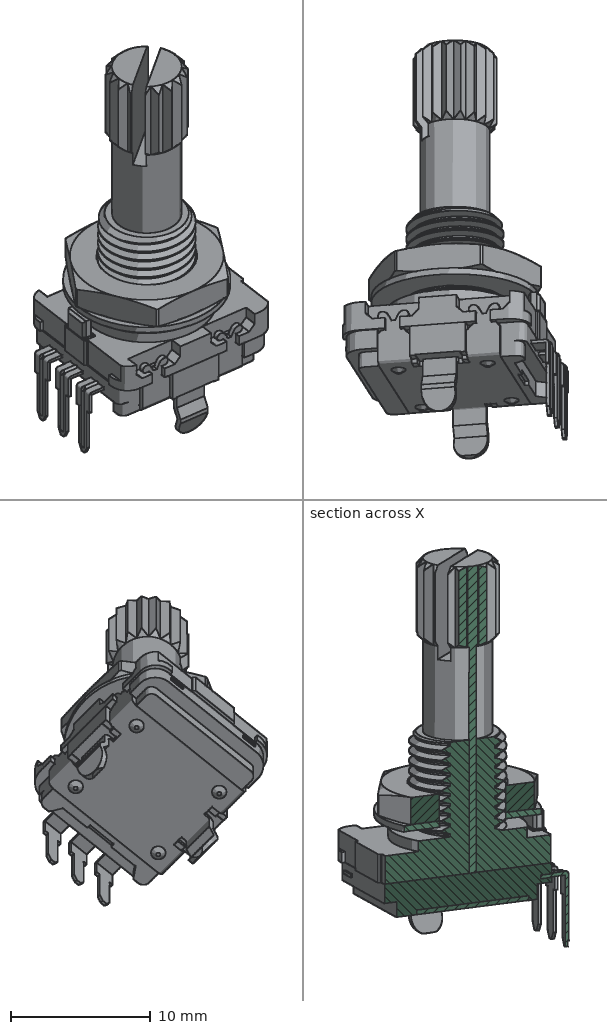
import cadquery as cq
import math


base_bottom_z = 3.8
base_step_z = 4.93
housing_bottom_z = 6.37
housing_step_z = 7.15
housing_top_z = 8.5
disc_top_z = 9.3
washer_bottom_z = 10.07
nut_bottom_z = 10.55
nut_top_z = 12.59
bushing_top_z = 16.32
shaft_top_z = 29.2

diagonal = math.sqrt(0.5)

shaft_diameter = 5.0
knurl_diameter = 6.0
knurl_length = 6.02
knurl_chamfer = (knurl_diameter - shaft_diameter) / 2
tooth_count = 18
slot_width = 1.0
slot_depth = 7.0
slot_angle = -49.0

housing_half_width = 5.85
housing_front_y = -6.48
housing_back_y = 7.25
housing_corner_radius = 1.5
face_inset = 0.25
corner_pad_inner_x = 4.1
front_boss_half_width = 1.28
back_boss_half_width = 2.0
boss_chamfer = 0.15
disc_diameter = 10.0
thread_major_diameter = 7.0
thread_minor_diameter = 6.1
thread_turns = 9.4
thread_pitch = (bushing_top_z - disc_top_z) / thread_turns
thread_start_z = 8.73
thread_crest_width = 0.1
thread_root_width = 0.6
thread_bury_depth = 0.05
bushing_lip_diameter = 6.02
tab_width = 2.07
tab_front_y = -6.42
tab_back_y = -5.58
tab_top_z = 10.05
tab_chamfer = 0.2
tab_foot_height = 0.12
tab_foot_chamfer = 0.1

nut_across_flats = 11.0
nut_bore = 7.2
nut_corner_diameter = 12.6
nut_chamfer_height = 0.25
washer_diameter = 12.0
washer_bore = 7.2

base_half_width = 5.08
base_front_y = -6.3
base_back_y = 7.0
base_corner_radius = 0.55
base_back_radius = 1.5
base_back_half_width = 5.7
foot_half_length = 6.05
side_block_half_length = 2.05
side_block_bottom_z = 4.12
front_recess_outer_x = 4.05
front_recess_inner_x = 3.5
front_recess_depth = 0.88
front_notch_width = 2.28
front_notch_height = 0.32
front_notch_depth = 0.3
stub_inner_x = 2.9
stub_outer_x = 4.03
stub_thickness = 0.25
stub_length = 0.12

sheet = 0.38
bracket_half_width = base_half_width + sheet
plate_top_z = base_bottom_z + sheet
plate_half_width = 4.38
wing_inner_y = side_block_half_length
wing_outer_y = 4.47
wing_bend_radius = 0.5
clip_y = 3.33
neck_half_width = 0.55
leg_half_width = 1.23
leg_gap = 0.4
dimple_x = 3.97
dimple_y = 3.27
dimple_height = 0.25
dimple_base_radius = 0.53
dimple_tip_radius = 0.15

clip_notch_depth = 1.02
clip_notch_half_width = 1.95
clip_notch_floor_half_width = 1.45
clip_notch_chamfer = clip_notch_half_width - clip_notch_floor_half_width

pin_spacing = 2.48
pin_sheet = 0.23
pin_front_y = -7.6
pin_top_z = 5.55
pin_insertion = 0.88
pin_shoulder_width = 1.52
pin_width = 0.93
pin_tip_width = 0.35
pin_tip_height = 0.55
pin_rib_diameter = 0.5
pin_rib_height = 0.1
pin_rib_bottom_z = 0.45


def box(x_range, y_range, z_range):
    """Axis-parallel box between the given limits."""
    size = [abs(limits[1] - limits[0]) for limits in (x_range, y_range, z_range)]
    start = [min(limits) for limits in (x_range, y_range, z_range)]
    return cq.Workplane("XY").box(*size, centered=False).translate(tuple(start))


def cylinder(diameter, bottom_z, top_z):
    """Cylinder on the Z axis."""
    return cq.Workplane("XY").workplane(offset=bottom_z).circle(diameter / 2).extrude(top_z - bottom_z)


def both_sides(body):
    """A body together with its mirror image in X."""
    return body.union(body.mirror("YZ"))


def make_shaft():
    knurl_bottom_z = shaft_top_z - knurl_length
    root_radius = shaft_diameter / 2
    tip_radius = knurl_diameter / 2
    tooth_outline = []
    for step in range(2 * tooth_count):
        radius = tip_radius if step % 2 == 0 else root_radius
        angle = step * math.pi / tooth_count
        tooth_outline.append((radius * math.cos(angle), radius * math.sin(angle)))
    knurl = cq.Workplane("XY").workplane(offset=knurl_bottom_z).polyline(tooth_outline).close()
    knurl = knurl.extrude(knurl_length)
    chamfered = cylinder(knurl_diameter, knurl_bottom_z, shaft_top_z).edges().chamfer(knurl_chamfer)
    shaft = cylinder(shaft_diameter, housing_bottom_z, knurl_bottom_z).union(knurl.intersect(chamfered))
    slot = box(
        (-knurl_diameter, knurl_diameter),
        (-slot_width / 2, slot_width / 2),
        (shaft_top_z - slot_depth, shaft_top_z),
    )
    return shaft.cut(slot.rotate((0, 0, 0), (0, 0, 1), slot_angle))


def make_thread():
    """Right-handed helical ridge, trimmed to the bushing length and its chamfered top."""
    core_radius = thread_minor_diameter / 2
    crest_radius = thread_major_diameter / 2
    buried_radius = core_radius - thread_bury_depth
    flank_slope = (thread_root_width - thread_crest_width) / (crest_radius - core_radius)
    buried_width = thread_root_width + flank_slope * thread_bury_depth
    helix = cq.Wire.makeHelix(thread_pitch, bushing_top_z + thread_pitch - thread_start_z, core_radius)
    ridge = (
        cq.Workplane("XZ")
        .moveTo(buried_radius, -buried_width / 2)
        .lineTo(crest_radius, -thread_crest_width / 2)
        .lineTo(crest_radius, thread_crest_width / 2)
        .lineTo(buried_radius, buried_width / 2)
        .close()
        .sweep(cq.Workplane(helix), isFrenet=True)
        .translate((0, 0, thread_start_z))
    )
    envelope_diameter = thread_major_diameter + 0.3
    envelope = cylinder(envelope_diameter, disc_top_z, bushing_top_z)
    envelope = envelope.faces(">Z").chamfer((envelope_diameter - bushing_lip_diameter) / 2)
    core = cylinder(thread_minor_diameter, disc_top_z, bushing_top_z).intersect(envelope)
    return core.union(ridge.intersect(envelope))


def make_clip_notch(y):
    """Chamfered pocket for a bracket clip in the -X side, with a narrow neck slot below it."""
    pocket = (
        cq.Workplane("YZ")
        .workplane(offset=-housing_half_width)
        .moveTo(y - clip_notch_floor_half_width, housing_step_z)
        .lineTo(y + clip_notch_floor_half_width, housing_step_z)
        .lineTo(y + clip_notch_half_width, housing_step_z + clip_notch_chamfer)
        .lineTo(y + clip_notch_half_width, housing_top_z)
        .lineTo(y - clip_notch_half_width, housing_top_z)
        .lineTo(y - clip_notch_half_width, housing_step_z + clip_notch_chamfer)
        .close()
        .extrude(clip_notch_depth)
    )
    neck_slot = box(
        (-housing_half_width, -base_half_width),
        (y - neck_half_width, y + neck_half_width),
        (housing_bottom_z, housing_step_z),
    )
    return pocket.union(neck_slot)


def make_face_relief(outer_y, inward, boss_half_width, corner_pads):
    """Shallow cut along the front or back face that leaves the middle boss standing.

    With corner_pads the cut is full height and stops at the corner pads; without, it runs above them.
    """
    inner_y = outer_y + inward * face_inset
    x_limit = corner_pad_inner_x if corner_pads else housing_half_width
    z_bottom = housing_bottom_z if corner_pads else housing_step_z
    relief = (
        cq.Workplane("XY")
        .workplane(offset=z_bottom)
        .moveTo(boss_half_width - boss_chamfer, outer_y)
        .lineTo(x_limit, outer_y)
        .lineTo(x_limit, inner_y)
        .lineTo(boss_half_width, inner_y)
        .lineTo(boss_half_width, outer_y + inward * boss_chamfer)
        .close()
        .extrude(housing_top_z - z_bottom)
    )
    return both_sides(relief)


def make_housing():
    housing = box(
        (-housing_half_width, housing_half_width),
        (housing_front_y, housing_back_y),
        (housing_bottom_z, housing_top_z),
    )
    housing = housing.edges("|Z").fillet(housing_corner_radius)
    for corner_pads in (False, True):
        housing = housing.cut(make_face_relief(housing_front_y, 1, front_boss_half_width, corner_pads))
        housing = housing.cut(make_face_relief(housing_back_y, -1, back_boss_half_width, corner_pads))
    for y in (-clip_y, clip_y):
        housing = housing.cut(both_sides(make_clip_notch(y)))
    tab = box((-tab_width / 2, tab_width / 2), (tab_front_y, tab_back_y), (housing_top_z, tab_top_z))
    tab = tab.edges("|Z").chamfer(tab_chamfer).faces(">Z").edges("<Y or >Y").chamfer(tab_chamfer)
    tab_foot = box(
        (-tab_width / 2 - tab_foot_height, tab_width / 2 + tab_foot_height),
        (tab_front_y, tab_back_y + tab_foot_height),
        (housing_top_z, housing_top_z + tab_foot_height),
    )
    tab_foot = tab_foot.faces(">Z").edges("not <Y").chamfer(tab_foot_chamfer)
    housing = housing.union(tab).union(tab_foot)
    housing = housing.union(cylinder(disc_diameter, housing_top_z, disc_top_z)).union(make_thread())
    return housing.cut(cylinder(shaft_diameter, housing_bottom_z, bushing_top_z))


def make_nut():
    corner_diameter = nut_across_flats / math.cos(math.radians(30))
    hexagon = (
        cq.Workplane("XY")
        .workplane(offset=nut_bottom_z)
        .polygon(6, corner_diameter)
        .extrude(nut_top_z - nut_bottom_z)
        .rotate((0, 0, 0), (0, 0, 1), 30)
    )
    flat_radius = nut_across_flats / 2
    corner_radius = nut_corner_diameter / 2
    rounded = (
        cq.Workplane("XZ")
        .moveTo(nut_bore / 2, nut_bottom_z)
        .lineTo(flat_radius, nut_bottom_z)
        .lineTo(corner_radius, nut_bottom_z + nut_chamfer_height)
        .lineTo(corner_radius, nut_top_z - nut_chamfer_height)
        .lineTo(flat_radius, nut_top_z)
        .lineTo(nut_bore / 2, nut_top_z)
        .close()
        .revolve(360, (0, 0, 0), (0, 1, 0))
    )
    return hexagon.intersect(rounded)


def make_washer():
    return cylinder(washer_diameter, washer_bottom_z, nut_bottom_z).cut(
        cylinder(washer_bore, washer_bottom_z, nut_bottom_z)
    )


def make_wing(y):
    """Bent sheet on the +X side with a forked clip on top, on the side of the given Y."""
    inner_radius = wing_bend_radius - sheet
    bend_centre_x = bracket_half_width - wing_bend_radius
    bend_centre_z = base_bottom_z + wing_bend_radius
    bend = (
        cq.Workplane("XZ")
        .moveTo(plate_half_width, base_bottom_z)
        .lineTo(bend_centre_x, base_bottom_z)
        .threePointArc(
            (bend_centre_x + wing_bend_radius * diagonal, bend_centre_z - wing_bend_radius * diagonal),
            (bracket_half_width, bend_centre_z),
        )
        .lineTo(base_half_width, bend_centre_z)
        .threePointArc(
            (bend_centre_x + inner_radius * diagonal, bend_centre_z - inner_radius * diagonal),
            (bend_centre_x, plate_top_z),
        )
        .lineTo(plate_half_width, plate_top_z)
        .close()
        .extrude(wing_inner_y - wing_outer_y)
        .translate((0, wing_inner_y, 0))
    )
    inner_edge = wing_inner_y - clip_y
    outer_edge = wing_outer_y - clip_y
    inner_chamfer = 0.5
    outer_chamfer = 0.25
    lobe_foot = (0.9, housing_step_z)
    lobe_side = (1.1, 7.53)
    lobe_top = (0.85, 7.77)
    valley = (0.15, 7.07)
    upright = (
        cq.Workplane("YZ")
        .workplane(offset=base_half_width)
        .moveTo(inner_edge, bend_centre_z)
        .lineTo(outer_edge, bend_centre_z)
        .lineTo(outer_edge, housing_bottom_z - outer_chamfer)
        .lineTo(outer_edge - outer_chamfer, housing_bottom_z)
        .lineTo(neck_half_width, housing_bottom_z)
        .lineTo(neck_half_width, housing_step_z)
        .lineTo(*lobe_foot)
        .threePointArc(lobe_side, lobe_top)
        .spline([valley], tangents=[(-1, 0), (-0.6, -1)], includeCurrent=True)
        .lineTo(-valley[0], valley[1])
        .spline([(-lobe_top[0], lobe_top[1])], tangents=[(-0.6, 1), (-1, 0)], includeCurrent=True)
        .threePointArc((-lobe_side[0], lobe_side[1]), (-lobe_foot[0], lobe_foot[1]))
        .lineTo(-neck_half_width, housing_step_z)
        .lineTo(-neck_half_width, housing_bottom_z)
        .lineTo(inner_edge + inner_chamfer, housing_bottom_z)
        .lineTo(inner_edge, housing_bottom_z - inner_chamfer)
        .close()
        .extrude(sheet)
        .translate((0, clip_y, 0))
    )
    wing = bend.union(upright)
    return wing if y > 0 else wing.mirror("XZ")


def make_leg():
    """Spring leg on the +X side: bent down from the plate, kinked outward and rounded at its end."""
    outer_x = 5.23
    inner_x = outer_x - sheet
    bend_radius = 0.58
    bend_x = outer_x - bend_radius
    bend_z = plate_top_z - bend_radius
    inner_bend_radius = bend_radius - sheet
    kink_top_z = 2.7
    knee_x = 5.66
    knee_top_z = 1.9
    knee_bottom_z = 1.55
    toe_outer = (5.08, 0)
    toe_inner = (4.73, 0.15)
    knee_inner = (5.29, 1.72)
    kink_inner_z = 2.5
    strip = (
        cq.Workplane("XZ")
        .moveTo(plate_half_width, plate_top_z)
        .lineTo(bend_x, plate_top_z)
        .threePointArc((bend_x + bend_radius * diagonal, bend_z + bend_radius * diagonal), (outer_x, bend_z))
        .lineTo(outer_x, kink_top_z)
        .lineTo(knee_x, knee_top_z)
        .lineTo(knee_x, knee_bottom_z)
        .lineTo(*toe_outer)
        .lineTo(*toe_inner)
        .lineTo(*knee_inner)
        .lineTo(inner_x, kink_inner_z)
        .lineTo(inner_x, bend_z)
        .threePointArc(
            (bend_x + inner_bend_radius * diagonal, bend_z + inner_bend_radius * diagonal),
            (bend_x, base_bottom_z),
        )
        .lineTo(plate_half_width, base_bottom_z)
        .close()
        .extrude(leg_half_width, both=True)
    )
    rounded_outline = (
        cq.Workplane("YZ")
        .moveTo(-leg_half_width, plate_top_z)
        .lineTo(-leg_half_width, leg_half_width)
        .threePointArc((0, 0), (leg_half_width, leg_half_width))
        .lineTo(leg_half_width, plate_top_z)
        .close()
        .extrude(housing_half_width)
    )
    return strip.intersect(rounded_outline)


def make_bracket():
    bracket = box(
        (-plate_half_width, plate_half_width),
        (-wing_outer_y, wing_outer_y),
        (base_bottom_z, plate_top_z),
    )
    for y in (-clip_y, clip_y):
        bracket = bracket.union(both_sides(make_wing(y)))
        dimple = cq.Solid.makeCone(
            dimple_base_radius,
            dimple_tip_radius,
            dimple_height,
            cq.Vector(dimple_x, math.copysign(dimple_y, y), base_bottom_z),
            cq.Vector(0, 0, -1),
        )
        bracket = bracket.union(both_sides(cq.Workplane(dimple)))
    return bracket.union(both_sides(make_leg()))


def pin_profile(extra):
    """L-shaped side outline of a pin, thickened outward by the given amount."""
    front_y = pin_front_y - extra
    top_z = pin_top_z + extra
    inner_y = base_front_y + pin_insertion
    bend_radius = pin_sheet + extra
    bend_y = front_y + bend_radius
    bend_z = top_z - bend_radius
    return (
        cq.Workplane("YZ")
        .moveTo(front_y, 0)
        .lineTo(front_y, bend_z)
        .threePointArc((bend_y - bend_radius * diagonal, bend_z + bend_radius * diagonal), (bend_y, top_z))
        .lineTo(inner_y, top_z)
        .lineTo(inner_y, bend_z)
        .lineTo(bend_y, bend_z)
        .lineTo(bend_y, 0)
        .close()
    )


def make_pin(x):
    half_shoulder = pin_shoulder_width / 2
    half_width = pin_width / 2
    half_tip = pin_tip_width / 2
    front_outline = (
        cq.Workplane("XZ")
        .polyline(
            [
                (-half_shoulder, pin_top_z),
                (-half_shoulder, base_bottom_z),
                (-half_width, base_bottom_z),
                (-half_width, pin_tip_height),
                (-half_tip, 0),
                (half_tip, 0),
                (half_width, pin_tip_height),
                (half_width, base_bottom_z),
                (half_shoulder, base_bottom_z),
                (half_shoulder, pin_top_z),
            ]
        )
        .close()
        .extrude(-pin_front_y)
    )
    blade = pin_profile(0).extrude(half_shoulder, both=True).intersect(front_outline)
    rib_radius = pin_rib_diameter / 2
    axis_y = pin_front_y - pin_rib_height + rib_radius
    axis_z = pin_top_z + pin_rib_height - rib_radius
    bar = cq.Workplane("XY").workplane(offset=pin_rib_bottom_z).center(0, axis_y).circle(rib_radius)
    bar = bar.extrude(axis_z - pin_rib_bottom_z)
    flat_bar = cq.Workplane("XZ", origin=(0, axis_y, 0)).center(0, axis_z).circle(rib_radius)
    flat_bar = flat_bar.extrude(axis_y - base_front_y)
    elbow = cq.Workplane("XY").sphere(rib_radius).translate((0, axis_y, axis_z))
    rib_limit = pin_profile(pin_rib_height).extrude(half_width, both=True)
    rib = bar.union(flat_bar).union(elbow).intersect(rib_limit)
    return blade.union(rib).translate((x, 0, 0))


def make_base(bracket, pins):
    """Plastic base with seats for the bracket and the pins."""
    upper = box(
        (-base_half_width, base_half_width),
        (base_front_y, wing_outer_y),
        (base_step_z, housing_bottom_z),
    )
    upper = upper.edges("|Z and <Y").fillet(base_corner_radius)
    back_block = box(
        (-base_back_half_width, base_back_half_width),
        (wing_outer_y, base_back_y),
        (base_step_z, housing_bottom_z),
    )
    back_block = back_block.edges("|Z and >Y").fillet(base_back_radius)
    foot = box(
        (-base_half_width, base_half_width),
        (-foot_half_length, foot_half_length),
        (base_bottom_z, base_step_z),
    )
    foot = foot.edges("|Z").fillet(base_corner_radius)
    recess_back_y = front_recess_depth - foot_half_length
    front_recess = (
        cq.Workplane("XY")
        .workplane(offset=base_bottom_z)
        .moveTo(-front_recess_outer_x, -foot_half_length)
        .lineTo(-front_recess_inner_x, recess_back_y)
        .lineTo(front_recess_inner_x, recess_back_y)
        .lineTo(front_recess_outer_x, -foot_half_length)
        .close()
        .extrude(base_step_z - base_bottom_z)
    )
    front_notch = box(
        (-front_notch_width / 2, front_notch_width / 2),
        (recess_back_y, recess_back_y + front_notch_depth),
        (base_bottom_z, base_bottom_z + front_notch_height),
    )
    base = upper.union(back_block).union(foot.cut(front_recess).cut(front_notch))
    side_block = box(
        (base_half_width, housing_half_width),
        (-side_block_half_length, side_block_half_length),
        (side_block_bottom_z, housing_bottom_z),
    )
    stub = box(
        (stub_inner_x, stub_outer_x),
        (base_back_y, base_back_y + stub_length),
        (pin_top_z, pin_top_z + stub_thickness),
    )
    base = base.union(both_sides(side_block)).union(both_sides(stub))
    leg_space = box(
        (plate_half_width, housing_half_width),
        (-leg_half_width - leg_gap, leg_half_width + leg_gap),
        (base_bottom_z, plate_top_z),
    )
    wing_space = box(
        (plate_half_width, housing_half_width),
        (wing_inner_y, wing_outer_y),
        (base_bottom_z, plate_top_z),
    )
    base = base.cut(both_sides(leg_space))
    base = base.cut(both_sides(wing_space)).cut(both_sides(wing_space.mirror("XZ"))).cut(bracket)
    for pin in pins:
        base = base.cut(pin)
    return base


shaft = make_shaft()
housing = make_housing()
nut = make_nut()
washer = make_washer()
bracket = make_bracket()
pins = [make_pin(x) for x in (-pin_spacing, 0, pin_spacing)]
base = make_base(bracket, pins)

bodies = [shaft, housing, nut, washer, bracket, base, *pins]
result = cq.Compound.makeCompound([body.solids().val() for body in bodies])